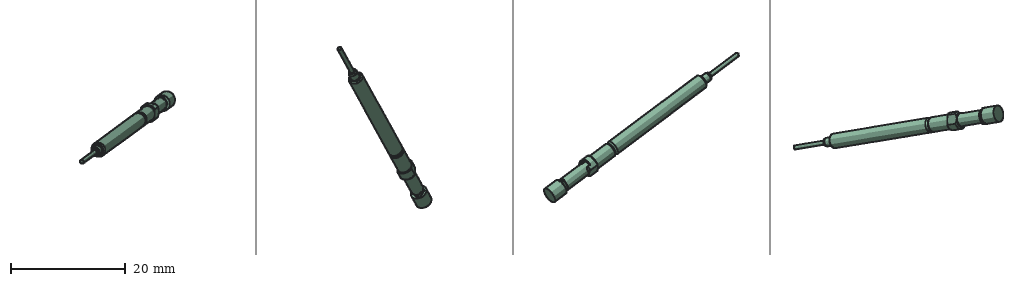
import cadquery as cq

head_r = 1.455
core_r = 1.142
collar_r = 1.59
barrel_r = 1.32
groove_r = 1.15
front_barrel_r = 1.3
shoulder_r = 1.055
sleeve_r = 0.785
sleeve_end_r = 0.63
pin_r = 0.38
point_r = 0.29

length = 44.8
head_y = length / 2
tip_y = -length / 2
neck_rear_y = head_y - 2.75
neck_front_y = neck_rear_y - 0.65
collar_rear_y = head_y - 8.15
collar_front_y = collar_rear_y - 2.05
groove_rear_y = head_y - 14.35
groove_floor_y = groove_rear_y - 0.25
groove_front_y = groove_floor_y - 0.4
taper_rear_y = head_y - 27.4
taper_front_y = taper_rear_y - 0.4
barrel_end_y = head_y - 35.95
shoulder_y = barrel_end_y - 0.25
sleeve_taper_y = head_y - 37.45
sleeve_end_y = sleeve_taper_y - 0.4
pin_end_y = tip_y + 0.3

collar_chamfer = 0.25
slot_width = 1.3
slot_length = 0.85
neck_half_width = 1.098
neck_half_height = 1.65


def groove_arc_point():
    """Middle of the concave groove wall, which leaves the groove floor level."""
    run = groove_floor_y - groove_front_y
    rise = barrel_r - groove_r
    arc_r = (run**2 + rise**2) / (2 * rise)
    mid_run = run / 2
    mid_rise = arc_r - (arc_r**2 - mid_run**2) ** 0.5
    return groove_r + mid_rise, groove_floor_y - mid_run


def turned_body():
    """Stepped half profile, revolved about the Y axis."""
    head_to_groove = [
        (head_r, head_y),
        (head_r, neck_front_y),
        (core_r, neck_front_y),
        (core_r, collar_rear_y),
        (collar_r - collar_chamfer, collar_rear_y),
        (collar_r, collar_rear_y - collar_chamfer),
        (collar_r, collar_front_y),
        (barrel_r, collar_front_y),
        (barrel_r, groove_rear_y),
        (groove_r, groove_floor_y),
    ]
    groove_to_tip = [
        (barrel_r, taper_rear_y),
        (front_barrel_r, taper_front_y),
        (front_barrel_r, barrel_end_y),
        (shoulder_r, shoulder_y),
        (sleeve_r, shoulder_y),
        (sleeve_r, sleeve_taper_y),
        (sleeve_end_r, sleeve_end_y),
        (pin_r, sleeve_end_y),
        (pin_r, pin_end_y),
        (point_r, pin_end_y),
        (0, tip_y),
    ]
    profile = cq.Workplane("XY").moveTo(0, head_y)
    for point in head_to_groove:
        profile = profile.lineTo(*point)
    profile = profile.threePointArc(groove_arc_point(), (barrel_r, groove_front_y))
    for point in groove_to_tip:
        profile = profile.lineTo(*point)
    return profile.close().revolve(360, (0, 0, 0), (0, 1, 0))


def collar_flat_waste():
    """Two blocks that trim the collar to wrench flats level with the barrel."""
    depth = collar_r - barrel_r
    offset = barrel_r + depth / 2
    middle_y = (collar_rear_y + collar_front_y) / 2
    return (
        cq.Workplane("XY", origin=(0, middle_y, 0))
        .pushPoints([(-offset, 0), (offset, 0)])
        .box(depth, collar_rear_y - collar_front_y, 2 * collar_r)
    )


def collar_slot_waste():
    """Slot in the top of the collar, with a floor flush with the round core."""
    block = (
        cq.Workplane("XY", origin=(0, collar_rear_y - slot_length / 2, 0))
        .rect(slot_width, slot_length)
        .extrude(collar_r)
    )
    core = cq.Workplane("XZ", origin=(0, collar_rear_y, 0)).circle(core_r).extrude(slot_length)
    return block.cut(core)


def neck_waste():
    """Material around the diamond-shaped neck in front of the head."""
    plane = cq.Workplane("XZ", origin=(0, neck_rear_y, 0))
    neck_length = neck_rear_y - neck_front_y
    corners = [
        (neck_half_width, 0),
        (0, neck_half_height),
        (-neck_half_width, 0),
        (0, -neck_half_height),
    ]
    diamond = plane.polyline(corners).close().extrude(neck_length)
    return plane.circle(head_r).extrude(neck_length).cut(diamond)


result = (
    turned_body()
    .cut(collar_flat_waste())
    .cut(collar_slot_waste())
    .cut(neck_waste())
)